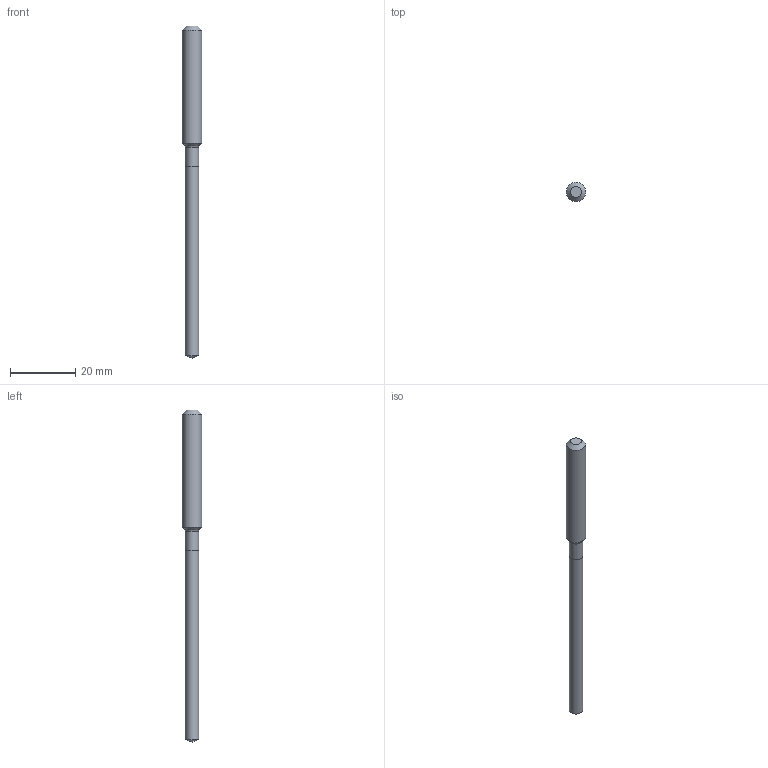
import cadquery as cq
import math

overall_length = 102.0

shank_diameter = 6.0
shank_length = 36.0
shank_end_chamfer = 1.3

drill_diameter = 4.1
cutting_length = 58.8
point_angle = 140.0

shoulder_angle = 45.0
shoulder_fillet = 0.8

shank_radius = shank_diameter / 2
drill_radius = drill_diameter / 2
point_height = drill_radius / math.tan(math.radians(point_angle / 2))
shoulder_top = overall_length - shank_length

slope = math.radians(shoulder_angle)
shoulder_corner = shoulder_top - (shank_radius - drill_radius) / math.tan(slope)
tangent_length = shoulder_fillet * math.tan(slope / 2)
fillet_bottom = (drill_radius, shoulder_corner - tangent_length)
fillet_middle = (
    drill_radius + shoulder_fillet * (1 - math.cos(slope / 2)),
    fillet_bottom[1] + shoulder_fillet * math.sin(slope / 2),
)
fillet_top = (
    drill_radius + tangent_length * math.sin(slope),
    shoulder_corner + tangent_length * math.cos(slope),
)


def revolve_around_axis(outline):
    """Turn a closed (radius, height) outline into a solid around the Z axis."""
    return outline.close().revolve(360, (0, 0), (0, 1))


def make_shank():
    """Shank with a chamfered end, a filleted conical shoulder and the neck."""
    outline = (
        cq.Workplane("YZ")
        .moveTo(0, cutting_length)
        .lineTo(drill_radius, cutting_length)
        .lineTo(*fillet_bottom)
        .threePointArc(fillet_middle, fillet_top)
        .lineTo(shank_radius, shoulder_top)
        .lineTo(shank_radius, overall_length - shank_end_chamfer)
        .lineTo(shank_radius - shank_end_chamfer, overall_length)
        .lineTo(0, overall_length)
    )
    return revolve_around_axis(outline)


def make_cutting_part():
    """Cylindrical envelope of the flutes, ending in the conical point."""
    outline = (
        cq.Workplane("YZ")
        .moveTo(0, 0)
        .lineTo(drill_radius, point_height)
        .lineTo(drill_radius, cutting_length)
        .lineTo(0, cutting_length)
    )
    return revolve_around_axis(outline)


shank = make_shank()
cutting_part = make_cutting_part()

result = cq.Compound.makeCompound([shank.val(), cutting_part.val()])